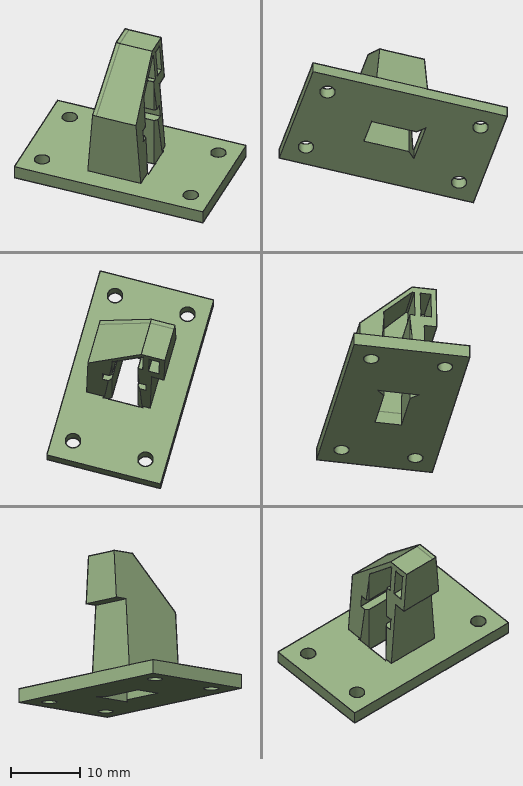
import cadquery as cq
import math

plate_length = 29.25
plate_width = 17.0
plate_thickness = 2.02
bolt_hole_diameter = 2.2
bolt_spacing_x = 23.05
bolt_spacing_y = 10.82

total_height = 20.12
post_left_base_x = -4.42
post_right_base_x = 3.8
side_inset = 1.32
side_plate_thickness = 0.58
post_height = total_height - plate_thickness
lean = math.atan2(side_inset, post_height)
core_left_base_x = post_left_base_x + side_plate_thickness / math.cos(lean)
core_top_z = total_height - side_plate_thickness * math.sin(lean)

post_front_y = -5.5
post_back_y = 4.0
head_back_y = 5.85
head_bottom_z = 13.13
slope_top_y = 2.3
slope_bottom_z = core_top_z - (slope_top_y - post_front_y)

roof_thickness = 1.0
roof_z = core_top_z - roof_thickness
hollow_floor_z = 14.88
window_front_y = 3.5
window_back_y = 5.05
chamber_back_y = 2.63
chamber_front_y = slope_top_y - (roof_z - hollow_floor_z)
slot_width = 6.5
slot_bottom_z = 7.9
slot_top_z = 9.8

shaft_width = 3.85
mouth_width = 6.0
mouth_x = 4.0
flare_start_x = mouth_x - (mouth_width - shaft_width) / 2


def extrude_along_x(outline):
    """Extrude a YZ outline to both sides, past the full width of the post."""
    return cq.Workplane("YZ").polyline(outline).close().extrude(plate_length / 2, both=True)


def box_along_x(front_y, back_y, bottom_z, top_z):
    return extrude_along_x([(front_y, bottom_z), (back_y, bottom_z), (back_y, top_z), (front_y, top_z)])


def post_outline():
    return [
        (post_front_y, plate_thickness),
        (post_front_y, slope_bottom_z),
        (slope_top_y, core_top_z),
        (head_back_y, core_top_z),
        (head_back_y, head_bottom_z),
        (post_back_y, head_bottom_z),
        (post_back_y, plate_thickness),
    ]


def make_plate():
    plate = cq.Workplane("XY").box(
        plate_length, plate_width, plate_thickness, centered=(True, True, False)
    )
    return (
        plate.faces(">Z")
        .workplane()
        .rect(bolt_spacing_x, bolt_spacing_y, forConstruction=True)
        .vertices()
        .hole(bolt_hole_diameter)
    )


def make_core():
    """Solid post between the side plate and the leaning +X side."""
    leaning_sides = (
        cq.Workplane("XZ")
        .polyline([
            (core_left_base_x, plate_thickness),
            (post_right_base_x, plate_thickness),
            (post_right_base_x - side_inset, total_height),
            (core_left_base_x + side_inset, total_height),
        ])
        .close()
        .extrude(plate_width / 2, both=True)
    )
    return extrude_along_x(post_outline()).intersect(leaning_sides)


def make_side_plate():
    """Plate closing the -X side, made upright and then tilted onto the leaning core."""
    root_depth = plate_thickness / 2
    outline = []
    for y, z in post_outline():
        height = (z - plate_thickness) / math.cos(lean)
        outline.append((y, height if height > 0 else -root_depth))
    return (
        cq.Workplane("YZ")
        .polyline(outline)
        .close()
        .extrude(-side_plate_thickness)
        .rotate((0, 0, 0), (0, 1, 0), math.degrees(lean))
        .translate((core_left_base_x, 0, plate_thickness))
    )


def make_core_hollows():
    window = box_along_x(window_front_y, window_back_y, hollow_floor_z, roof_z)
    chamber = extrude_along_x([
        (chamber_front_y, hollow_floor_z),
        (slope_top_y, roof_z),
        (chamber_back_y, roof_z),
        (chamber_back_y, hollow_floor_z),
    ])
    slot = box_along_x(-slot_width / 2, slot_width / 2, slot_bottom_z, slot_top_z)
    return window.union(chamber).union(slot)


def make_shaft():
    """Shaft from the underside of the base plate up to the chamber."""
    return (
        cq.Workplane("XY")
        .polyline([
            (core_left_base_x, -shaft_width / 2),
            (flare_start_x, -shaft_width / 2),
            (mouth_x, -mouth_width / 2),
            (mouth_x, mouth_width / 2),
            (flare_start_x, shaft_width / 2),
            (core_left_base_x, shaft_width / 2),
        ])
        .close()
        .extrude(hollow_floor_z)
    )


core = make_core().cut(make_core_hollows())
result = make_plate().union(core).cut(make_shaft()).union(make_side_plate())